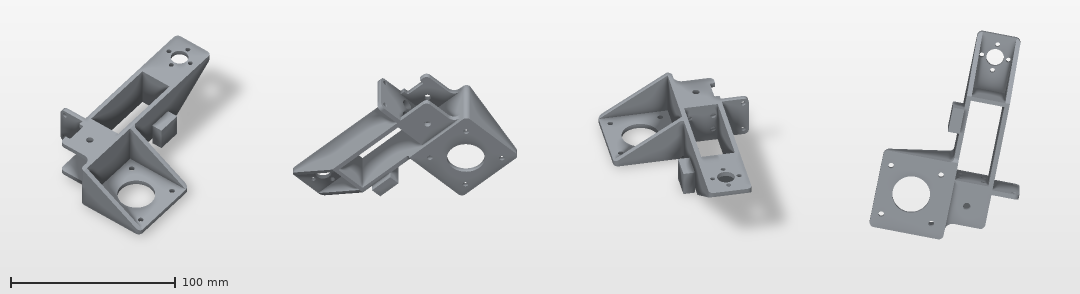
import cadquery as cq

wall = 3.0
corner_radius = 3.0
screw_hole = 3.0

arm_left = 16.8
arm_right = 43.5
arm_front = 10.6
arm_back = 126.4
arm_height = 26.5
side_wall = 2.9
arm_middle = (arm_left + arm_right) / 2
inner_left = arm_left + side_wall
inner_right = arm_right - side_wall
window_front = 37.8
window_back = 88.6
slope_foot = 91.1

face_front = 32.9
ear_hole_inset = 3.4
ear_hole_pitch = 19.2
face_hole_columns = (22.5, 37.4)
face_hole_rows = (-8.3, -18.5)
countersink_diameter = 7.0
countersink_depth = 3.5
face_hole = 3.4

bay_fillet = 5.0
pivot_y = 23.0
pivot_hole = 4.4
notch_depth = 3.3
notch_front = 16.4
notch_back = 29.8
notch_fillet = 1.0

tray_right = 86.3
tray_back = 48.9
tray_bottom = -29.5
tray_floor = tray_bottom + wall
tray_fillet = 2.3
motor_x = 64.8
motor_y = 24.4
motor_bore = 23.0
motor_hole = 3.4
motor_hole_pitch = 31.0

servo_y = 112.0
servo_bore = 10.7
servo_hole_radius = 8.2

block_width = 7.1
block_front = 67.8
block_back = 83.3
block_bottom = -30.5
block_height = 15.2


def box(x0, x1, y0, y1, z0, z1):
    """Box between opposite corners."""
    return cq.Workplane("XY").box(x1 - x0, y1 - y0, z1 - z0, centered=False).translate((x0, y0, z0))


def vertical_holes(points, diameter):
    """Cylinders running through the full height of the part."""
    return (
        cq.Workplane("XY").workplane(offset=block_bottom)
        .pushPoints(points).circle(diameter / 2).extrude(-block_bottom)
    )


def make_arm():
    arm = box(arm_left, arm_right, face_front, arm_back, -arm_height, 0)
    arm = arm.edges("|Z and >Y").fillet(corner_radius)
    underside = (
        cq.Workplane("YZ").moveTo(slope_foot, -arm_height)
        .lineTo(arm_back, -wall).lineTo(arm_back, -arm_height).close()
        .extrude(tray_right)
    )
    window = box(inner_left, inner_right, window_front, window_back, -arm_height, 0)
    end_hollow = box(inner_left, inner_right, slope_foot, arm_back, -arm_height, -wall)
    return arm.cut(underside).cut(window).cut(end_hollow)


def make_flange(bottom):
    flange = box(arm_left, inner_right, arm_front, face_front, bottom, bottom + wall)
    flange = flange.edges("|Z and <X and <Y").fillet(corner_radius)
    web = box(
        inner_right - bay_fillet, inner_right, arm_front - bay_fillet, arm_front, bottom, bottom + wall
    )
    round_cut = (
        cq.Workplane("XY").workplane(offset=bottom)
        .center(inner_right - bay_fillet, arm_front - bay_fillet)
        .circle(bay_fillet).extrude(wall)
    )
    return flange.union(web.cut(round_cut))


def make_notch():
    notch = box(arm_left, arm_left + notch_depth, notch_front, notch_back, -wall, 0)
    return notch.edges("|Z and >X").fillet(notch_fillet)


def make_ear():
    ear = box(0, arm_left + side_wall, face_front, face_front + wall, -arm_height, 0)
    return ear.edges("|Y and <X").fillet(corner_radius)


def make_ear_holes():
    rows = (-ear_hole_inset, -ear_hole_inset - ear_hole_pitch)
    return (
        cq.Workplane("XZ", origin=(0, face_front, 0))
        .pushPoints([(ear_hole_inset, z) for z in rows])
        .circle(screw_hole / 2).extrude(-wall)
    )


def make_face_holes():
    points = [(x, z) for x in face_hole_columns for z in face_hole_rows]
    face = cq.Workplane("XZ", origin=(0, face_front, 0)).pushPoints(points)
    holes = face.circle(face_hole / 2).extrude(face_front - window_front)
    for x, z in points:
        cone = cq.Solid.makeCone(
            countersink_diameter / 2, face_hole / 2, countersink_depth,
            cq.Vector(x, face_front, z), cq.Vector(0, 1, 0),
        )
        holes = holes.union(cq.Workplane(cone))
    return holes


def make_slope_cutter():
    """Wedge above the sloping top edges of the tray walls."""
    return (
        cq.Workplane("XZ").moveTo(arm_right, 0)
        .lineTo(tray_right, tray_floor).lineTo(tray_right, 0).close()
        .extrude(-arm_back)
    )


def make_tray():
    tray = box(inner_right, tray_right, 0, tray_back, tray_bottom, 0)
    tray = tray.edges("|Z and (>X or (<X and <Y))").fillet(corner_radius)
    pocket = box(arm_right, tray_right, wall, tray_back - wall, tray_floor, 0)
    return tray.cut(pocket).cut(make_slope_cutter())


def make_tray_fillets():
    """Concave fillets joining the tray to the arm's side and underside."""
    side = (
        box(arm_right, arm_right + tray_fillet, tray_back, tray_back + tray_fillet, tray_bottom, 0)
        .cut(vertical_holes([(arm_right + tray_fillet, tray_back + tray_fillet)], 2 * tray_fillet))
    )
    step = -arm_height - tray_bottom
    under = box(inner_right, arm_right, tray_back, tray_back + step, tray_bottom, -arm_height)
    under_round = (
        cq.Workplane("YZ", origin=(inner_right, 0, 0))
        .center(tray_back + step, tray_bottom)
        .circle(step).extrude(side_wall + tray_fillet)
    )
    return side.cut(make_slope_cutter()).union(under).cut(under_round)


def make_vertical_holes():
    half = motor_hole_pitch / 2
    motor_points = [(motor_x + i * half, motor_y + j * half) for i in (-1, 1) for j in (-1, 1)]
    servo_points = [
        (arm_middle + i * servo_hole_radius, servo_y + j * servo_hole_radius)
        for i, j in ((1, 0), (-1, 0), (0, 1), (0, -1))
    ]
    return (
        vertical_holes(motor_points, motor_hole)
        .union(vertical_holes([(motor_x, motor_y)], motor_bore))
        .union(vertical_holes(servo_points, screw_hole))
        .union(vertical_holes([(arm_middle, servo_y)], servo_bore))
        .union(vertical_holes([(arm_middle, pivot_y)], pivot_hole))
    )


top_flange = make_flange(-wall).cut(make_notch())
bottom_flange = make_flange(-arm_height)
side_block = box(
    arm_right, arm_right + block_width, block_front, block_back, block_bottom, block_bottom + block_height
)

result = (
    make_arm()
    .union(make_ear())
    .union(top_flange)
    .union(bottom_flange)
    .union(make_tray())
    .union(make_tray_fillets())
    .union(side_block)
    .cut(make_ear_holes())
    .cut(make_face_holes())
    .cut(make_vertical_holes())
)